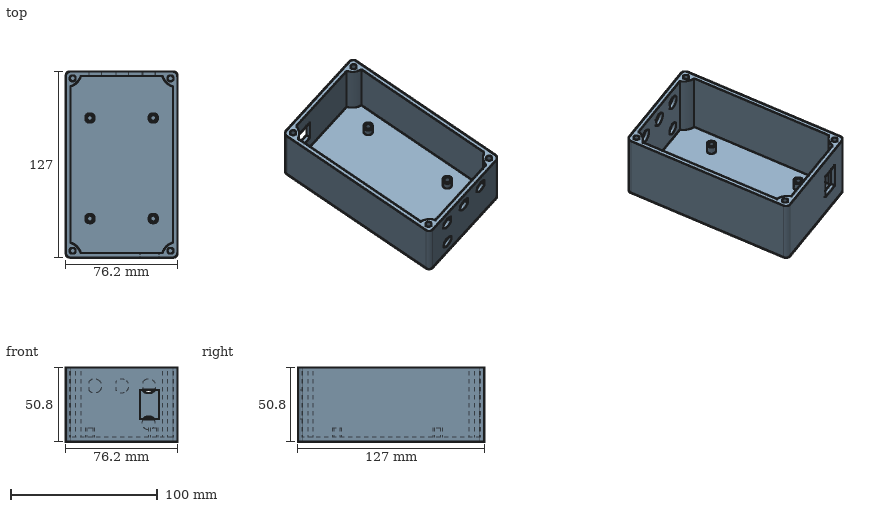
import cadquery as cq

WIDTH = 76.2
LENGTH = 127.0
HEIGHT = 50.8
WALL = 3.2
FLOOR = WALL
CORNER_RADIUS = WALL
CAVITY_DEPTH = HEIGHT - FLOOR

POST_RADIUS = 10.8
SCREW_HOLE_DIAMETER = 4.1
SCREW_INSET = 1.5 * WALL

STANDOFF_DIAMETER = 6.4
STANDOFF_HOLE_DIAMETER = 4.1
STANDOFF_HEIGHT = 6.4
STANDOFF_X = 21.6
STANDOFF_BACK_Y = 31.8
STANDOFF_FRONT_Y = -36.8

WINDOW_WIDTH = 12.8
WINDOW_HEIGHT = 20.0
WINDOW_X = 19.0

PORT_X = 18.4
D_PORT_COUNT = 3
D_PORT_SPACING = PORT_X
D_PORT_Z = 38.1
D_PORT_DIAMETER = 9.7
D_PORT_FLAT_OFFSET = 4.0
ROUND_PORT_Z = 12.7
ROUND_PORT_DIAMETER = 8.9


def outer_block():
    block = cq.Workplane("XY").box(WIDTH, LENGTH, HEIGHT, centered=(True, True, False))
    return block.edges("|Z").fillet(CORNER_RADIUS)


def floor_plane():
    return cq.Workplane("XY", origin=(0, 0, FLOOR))


def cavity():
    room = floor_plane().rect(WIDTH - 2 * WALL, LENGTH - 2 * WALL).extrude(CAVITY_DEPTH)
    posts = (
        floor_plane()
        .rect(WIDTH, LENGTH, forConstruction=True)
        .vertices()
        .circle(POST_RADIUS)
        .extrude(CAVITY_DEPTH)
    )
    return room.cut(posts)


def screw_holes():
    return (
        floor_plane()
        .rect(WIDTH - 2 * SCREW_INSET, LENGTH - 2 * SCREW_INSET, forConstruction=True)
        .vertices()
        .circle(SCREW_HOLE_DIAMETER / 2)
        .extrude(CAVITY_DEPTH)
    )


def standoffs():
    centers = [(x, y) for x in (-STANDOFF_X, STANDOFF_X) for y in (STANDOFF_FRONT_Y, STANDOFF_BACK_Y)]
    return (
        floor_plane()
        .pushPoints(centers)
        .circle(STANDOFF_DIAMETER / 2)
        .circle(STANDOFF_HOLE_DIAMETER / 2)
        .extrude(STANDOFF_HEIGHT)
    )


def front_window():
    return (
        cq.Workplane("XZ", origin=(WINDOW_X, WALL - LENGTH / 2, HEIGHT / 2))
        .rect(WINDOW_WIDTH, WINDOW_HEIGHT)
        .extrude(WALL)
    )


def back_port(x, z, diameter):
    return (
        cq.Workplane("XZ", origin=(x, LENGTH / 2, z))
        .circle(diameter / 2)
        .extrude(WALL)
    )


def d_port(x):
    beyond_flat = (
        cq.Workplane("XZ", origin=(x - D_PORT_FLAT_OFFSET - D_PORT_DIAMETER / 2, LENGTH / 2, D_PORT_Z))
        .rect(D_PORT_DIAMETER, D_PORT_DIAMETER)
        .extrude(WALL)
    )
    return back_port(x, D_PORT_Z, D_PORT_DIAMETER).cut(beyond_flat)


result = (
    outer_block()
    .cut(cavity())
    .cut(screw_holes())
    .union(standoffs())
    .cut(front_window())
    .cut(back_port(PORT_X, ROUND_PORT_Z, ROUND_PORT_DIAMETER))
)
for index in range(D_PORT_COUNT):
    result = result.cut(d_port(PORT_X - index * D_PORT_SPACING))